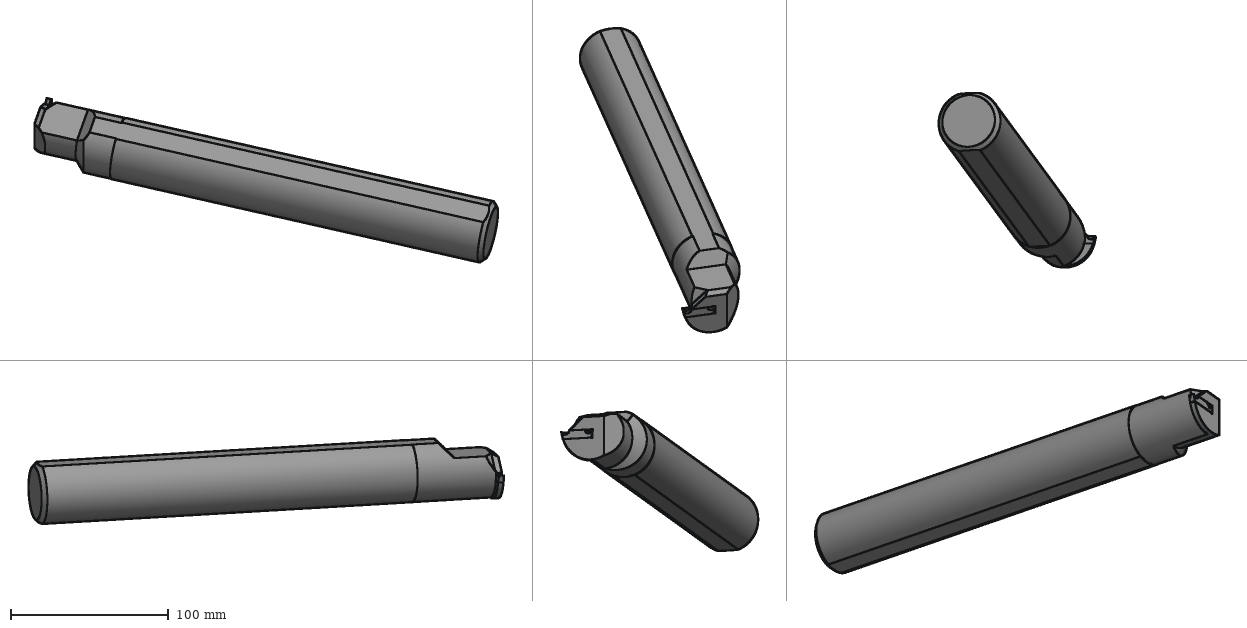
import cadquery as cq
import math

length = 300.0
shank_diameter = 40.0
shank_radius = shank_diameter / 2
head_radius = 19.8
head_length = 55.0
across_flats = 37.5
flat_height = across_flats / 2
end_chamfer = 3.0

neck_radius = 19.0
neck_offset = 6.5
neck_top = 10.8
shoulder_start = 30.0
shoulder_end = 37.5
shoulder_rise = 7.8

nose_corner_y = -2.0
nose_corner_length = 10.0
nose_ramp_length = 4.0
nose_ramp_drop = 2.0

chip_floor_length = 4.2
chip_floor_outer = (21.0, 0.5)
chip_floor_inner = (10.2, 10.2)
chip_wall_run = 1.1

insert_width = 3.5
insert_tip = 26.0
insert_inner = 5.5
insert_top = 0.5
insert_bottom = -4.8
insert_relief = 1.05
groove_depth = 1.95
groove_length = 5.0
groove_rim = 0.5

oversize = 60.0


def disc_along_x(radius, start, end):
    """Round bar parallel to X."""
    return (
        cq.Workplane("YZ", origin=(start, 0, 0))
        .circle(radius)
        .extrude(end - start)
    )


def block(x_range, y_range, z_range):
    """Box given by its limits on each axis."""
    sizes = [high - low for low, high in (x_range, y_range, z_range)]
    corner = (x_range[0], y_range[0], z_range[0])
    return cq.Workplane("XY").box(*sizes, centered=False).translate(corner)


def make_shank():
    """Rear bar with an end chamfer and two clamping flats."""
    shank = disc_along_x(shank_radius, head_length, length)
    shank = shank.faces(">X").chamfer(end_chamfer)
    flats = block(
        (head_length, length), (-oversize, oversize), (-flat_height, flat_height)
    )
    return shank.intersect(flats)


def make_head():
    """Eccentric neck opening through a conical shoulder to the head."""
    envelope = (
        cq.Workplane("XZ")
        .moveTo(0, 0)
        .lineTo(0, neck_radius)
        .lineTo(shoulder_start, neck_radius)
        .lineTo(shoulder_end, neck_radius + shoulder_rise)
        .lineTo(head_length, neck_radius + shoulder_rise)
        .lineTo(head_length, 0)
        .close()
        .revolve(360, (0, 0, 0), (1, 0, 0))
        .translate((0, neck_offset, 0))
    )
    top_outline = (
        cq.Workplane("XZ")
        .moveTo(0, -oversize)
        .lineTo(0, neck_top - nose_ramp_drop)
        .lineTo(nose_ramp_length, neck_top)
        .lineTo(shoulder_start, neck_top)
        .lineTo(shoulder_end, flat_height)
        .lineTo(head_length, flat_height)
        .lineTo(head_length, -oversize)
        .close()
        .extrude(oversize, both=True)
    )
    blade_space = block(
        (0, insert_width), (-oversize, oversize), (-oversize, oversize)
    )
    limits = disc_along_x(head_radius, 0, head_length).union(blade_space)
    return limits.intersect(envelope).intersect(top_outline)


def make_nose_corner():
    """45 degree wedge removed from the -Y corner of the nose."""
    return (
        cq.Workplane("XY")
        .moveTo(0, nose_corner_y)
        .lineTo(nose_corner_length, nose_corner_y - nose_corner_length)
        .lineTo(nose_corner_length, -oversize)
        .lineTo(0, -oversize)
        .close()
        .extrude(oversize, both=True)
    )


def make_chip_clearance():
    """Space above the sloping floor, bounded at the back by an inclined wall."""
    slope_y = chip_floor_outer[0] - chip_floor_inner[0]
    slope_z = chip_floor_inner[1] - chip_floor_outer[1]
    slope_length = math.hypot(slope_y, slope_z)
    normal = (0, slope_z / slope_length, slope_y / slope_length)
    along_floor = cq.Vector(1, 0, 0).cross(cq.Vector(*normal))
    floor_plane = cq.Plane(
        origin=(0, *chip_floor_inner), xDir=(1, 0, 0), normal=along_floor.toTuple()
    )
    return (
        cq.Workplane(floor_plane)
        .lineTo(chip_floor_length, 0)
        .lineTo(chip_floor_length + chip_wall_run * oversize, oversize)
        .lineTo(0, oversize)
        .close()
        .extrude(oversize, both=True)
    )


def make_insert_pocket():
    """Recess in the nose face, open on the +Y side."""
    return block(
        (0, insert_width), (insert_inner, oversize), (insert_bottom, insert_top)
    )


def make_holder():
    """Complete one-piece tool holder."""
    return (
        make_head()
        .union(make_shank())
        .cut(make_nose_corner())
        .cut(make_chip_clearance())
        .cut(make_insert_pocket())
    )


def make_insert():
    """Double-ended insert with a rounded chip groove behind each cutting edge."""
    middle = (insert_tip + insert_inner) / 2
    half_length = insert_tip - middle
    groove_end = half_length - groove_length
    base_half_length = half_length - insert_relief
    insert = (
        cq.Workplane("YZ", origin=(0, middle, 0))
        .polyline(
            [
                (-half_length, 0),
                (-base_half_length, insert_bottom),
                (base_half_length, insert_bottom),
                (half_length, 0),
                (groove_end, 0),
                (groove_end, insert_top),
                (-groove_end, insert_top),
                (-groove_end, 0),
            ]
        )
        .close()
        .extrude(insert_width)
    )
    for side in (-1, 1):
        groove = (
            cq.Workplane("YZ", origin=(0, middle, 0))
            .moveTo(side * half_length, 0)
            .threePointArc(
                (side * (half_length - groove_length / 2), -groove_depth),
                (side * groove_end, 0),
            )
            .close()
            .extrude(insert_width - groove_rim)
        )
        insert = insert.cut(groove)
    return insert


holder = make_holder()
insert = make_insert()

result = cq.Compound.makeCompound([holder.solids().val(), insert.solids().val()])